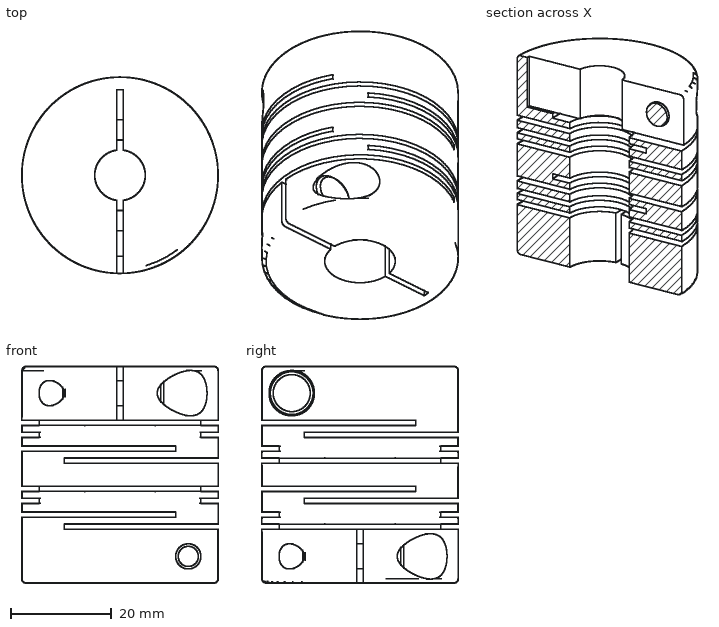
import cadquery as cq

BODY_DIAMETER = 39.0
BODY_LENGTH = 43.0
EDGE_FILLET = 0.85
SHAFT_BORE_DIAMETER = 10.0
RELIEF_BORE_DIAMETER = 14.0

HUB_LENGTH = 10.7
CUT_WIDTH = 1.0
PAIRED_CUT_PITCH = 2.4
PAIR_PITCH = 5.1
BRIDGE_OFFSET = 11.05
BRIDGE_DIRECTIONS = (90, 270, 0, 180)

SLIT_WIDTH = 1.25
SLIT_END_OFFSET = 17.0

SCREW_OFFSET = 13.55
SCREW_END_DISTANCE = 5.3
SCREW_DIAMETER = 5.0
SCREW_TIP_CHAMFER = 0.5
SHANK_LENGTH = 15.0
HEAD_DIAMETER = 8.5
HEAD_TOP_POSITION = 8.67
HEAD_HEIGHT = 5.0
HEAD_CHAMFER = 0.57
COUNTERBORE_DIAMETER = 9.0

body_radius = BODY_DIAMETER / 2
head_seat_position = HEAD_TOP_POSITION - HEAD_HEIGHT
screw_tip_position = head_seat_position - SHANK_LENGTH
screw_height = BODY_LENGTH - SCREW_END_DISTANCE


def make_body():
    """Round body with a shaft bore in the top hub and a relief bore below it."""
    body = cq.Workplane("XY").circle(body_radius).extrude(BODY_LENGTH)
    body = body.faces("<Z or >Z").edges().fillet(EDGE_FILLET)
    bore = cq.Workplane("XY").circle(SHAFT_BORE_DIAMETER / 2).extrude(BODY_LENGTH)
    relief = cq.Workplane("XY").circle(RELIEF_BORE_DIAMETER / 2).extrude(BODY_LENGTH - HUB_LENGTH)
    return body.cut(bore).cut(relief)


def make_flexure_cut(center_z, bridge_angle):
    """Slice through the body that stops at a bridge lying in the given direction."""
    length = body_radius + BRIDGE_OFFSET
    slice_box = cq.Workplane("XY").box(length, BODY_DIAMETER, CUT_WIDTH)
    slice_box = slice_box.translate((BRIDGE_OFFSET - length / 2, 0, center_z))
    return slice_box.rotate((0, 0, 0), (0, 0, 1), bridge_angle)


def flexure_cut_heights():
    """Mid-heights of one set of four cuts, from the top down."""
    first = BODY_LENGTH - HUB_LENGTH - CUT_WIDTH / 2
    third = first - PAIR_PITCH
    return (first, first - PAIRED_CUT_PITCH, third, third - PAIRED_CUT_PITCH)


def x_cylinder(diameter, x_start, x_end):
    """Cylinder along the axis of the top clamp screw."""
    plane = cq.Plane(origin=(x_start, -SCREW_OFFSET, screw_height), xDir=(0, 1, 0), normal=(1, 0, 0))
    return cq.Workplane(plane).circle(diameter / 2).extrude(x_end - x_start)


def make_clamp_cutter():
    """Slit, screw hole and counterbore of the top hub."""
    slit_length = body_radius + SLIT_END_OFFSET
    slit = cq.Workplane("XY").box(SLIT_WIDTH, slit_length, HUB_LENGTH)
    slit = slit.translate((0, SLIT_END_OFFSET - slit_length / 2, BODY_LENGTH - HUB_LENGTH / 2))
    hole = x_cylinder(SCREW_DIAMETER, -body_radius, head_seat_position)
    counterbore = x_cylinder(COUNTERBORE_DIAMETER, head_seat_position, body_radius)
    return slit.union(hole).union(counterbore)


def make_screw():
    """Clamp screw of the top hub, filling its hole and recessed at both ends."""
    shank = x_cylinder(SCREW_DIAMETER, screw_tip_position, head_seat_position)
    shank = shank.faces("<X").edges().chamfer(SCREW_TIP_CHAMFER)
    head = x_cylinder(HEAD_DIAMETER, head_seat_position, HEAD_TOP_POSITION)
    head = head.faces(">X").edges().chamfer(HEAD_CHAMFER)
    return shank.union(head)


def to_bottom_hub(shape):
    """Flip a top hub feature to the bottom hub and turn it a quarter turn."""
    flipped = shape.mirror("XY", (0, 0, BODY_LENGTH / 2))
    return flipped.rotate((0, 0, 0), (0, 0, 1), 90)


result = make_body()

upper_heights = flexure_cut_heights()
lower_heights = tuple(BODY_LENGTH - height for height in reversed(upper_heights))
for heights in (upper_heights, lower_heights):
    for height, direction in zip(heights, BRIDGE_DIRECTIONS):
        result = result.cut(make_flexure_cut(height, direction))

clamp_cutter = make_clamp_cutter()
screw = make_screw()
result = result.cut(clamp_cutter).cut(to_bottom_hub(clamp_cutter))
result = result.union(screw).union(to_bottom_hub(screw))